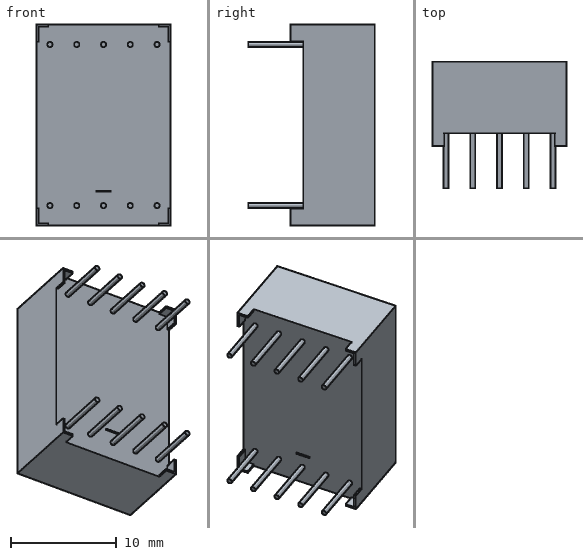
import cadquery as cq

width = 12.7
height = 19.05
overall_depth = 12.0
housing_depth = 8.0
foot_length = 1.2
body_depth = housing_depth - foot_length

foot_wall = 0.21
foot_width = 1.1
foot_height = 1.64

pins_per_row = 5
pin_diameter = 0.5
pin_pitch = 2.53
row_spacing = 15.24

groove_length = 1.41
groove_height = 0.1
groove_depth = 0.1
groove_to_row = 1.35

pin_face_y = -body_depth
foot_tip_y = -housing_depth
pin_tip_y = -overall_depth


def box_between(x_range, y_range, z_range):
    """Box spanning a (start, end) pair along each axis."""
    size = [abs(end - start) for start, end in (x_range, y_range, z_range)]
    center = tuple((start + end) / 2 for start, end in (x_range, y_range, z_range))
    return cq.Workplane("XY").box(*size).translate(center)


def corner_foot(x_side, z_side):
    """L-shaped foot flush with the outer faces of one corner (sides are +1 or -1)."""
    x_edge = x_side * width / 2
    z_edge = z_side * height / 2
    y_range = (pin_face_y, foot_tip_y)
    upright = box_between(
        (x_edge, x_edge - x_side * foot_wall), y_range, (z_edge, z_edge - z_side * foot_height)
    )
    ledge = box_between(
        (x_edge, x_edge - x_side * foot_width), y_range, (z_edge, z_edge - z_side * foot_wall)
    )
    return upright.union(ledge)


def pins():
    """Both pin rows, standing on the pin face."""
    return (
        cq.Workplane("XZ", origin=(0, pin_face_y, 0))
        .rarray(pin_pitch, row_spacing, pins_per_row, 2)
        .circle(pin_diameter / 2)
        .extrude(pin_face_y - pin_tip_y)
    )


def marking_groove():
    """Cutter for the short horizontal groove in the pin face."""
    groove_z = -row_spacing / 2 + groove_to_row
    return box_between(
        (-groove_length / 2, groove_length / 2),
        (pin_face_y, pin_face_y + groove_depth),
        (groove_z - groove_height / 2, groove_z + groove_height / 2),
    )


result = box_between((-width / 2, width / 2), (pin_face_y, 0), (-height / 2, height / 2))
for x_side in (-1, 1):
    for z_side in (-1, 1):
        result = result.union(corner_foot(x_side, z_side))
result = result.union(pins()).cut(marking_groove())